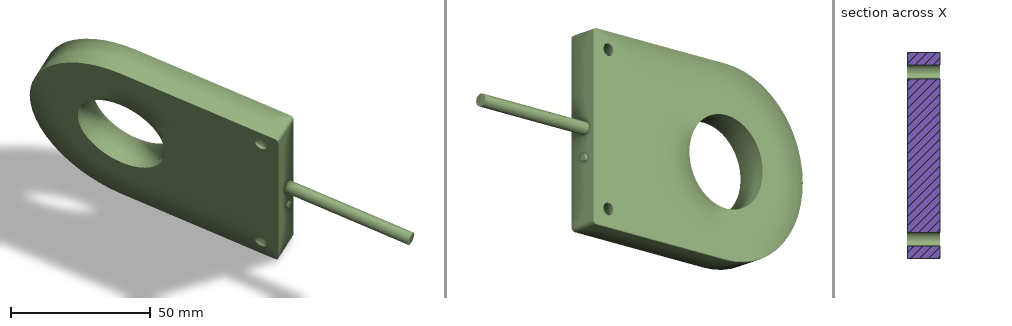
import cadquery as cq


body_height = 74.0
body_radius = body_height / 2
body_thickness = 12.0
overall_length = 150.5
cable_length = 50.0
body_length = overall_length - cable_length
body_end_x = body_length - body_radius
corner_radius = 1.5

back_edge_chamfer = 0.2

ring_bore_diameter = 35.2
mounting_hole_diameter = 4.7
mounting_hole_spacing = 60.0
mounting_hole_end_distance = 7.0

cable_diameter = 4.8
end_rod_y = 7.1
lamp_diameter = 2.8
lamp_projection = 1.0
lamp_edge_radius = 0.3
lamp_drop = 11.1
embed_depth = 1.0


def front_plane():
    """Workplane on the front face, drawing in X and Z, with its normal toward -Y."""
    return cq.Workplane("XZ")


def make_body():
    body = (
        front_plane()
        .moveTo(0, body_radius)
        .lineTo(body_end_x, body_radius)
        .lineTo(body_end_x, -body_radius)
        .lineTo(0, -body_radius)
        .threePointArc((-body_radius, 0), (0, body_radius))
        .close()
        .extrude(-body_thickness)
    )
    body = body.edges("|Y and >X").fillet(corner_radius)
    return body.faces(">Y").edges().chamfer(back_edge_chamfer)


def make_openings():
    bore = front_plane().circle(ring_bore_diameter / 2).extrude(-body_thickness)
    hole_x = body_end_x - mounting_hole_end_distance
    hole_z = mounting_hole_spacing / 2
    holes = (
        front_plane()
        .pushPoints([(hole_x, hole_z), (hole_x, -hole_z)])
        .circle(mounting_hole_diameter / 2)
        .extrude(-body_thickness)
    )
    return bore.union(holes)


def make_end_rod(diameter, projection, z):
    """Round rod standing out of the square end, rooted a little inside the body."""
    return (
        cq.Workplane("YZ", origin=(body_end_x - embed_depth, end_rod_y, z))
        .circle(diameter / 2)
        .extrude(embed_depth + projection)
    )


cable = make_end_rod(cable_diameter, cable_length, 0)
lamp = make_end_rod(lamp_diameter, lamp_projection, -lamp_drop).faces(">X").edges().fillet(lamp_edge_radius)

result = make_body().cut(make_openings()).union(cable).union(lamp)